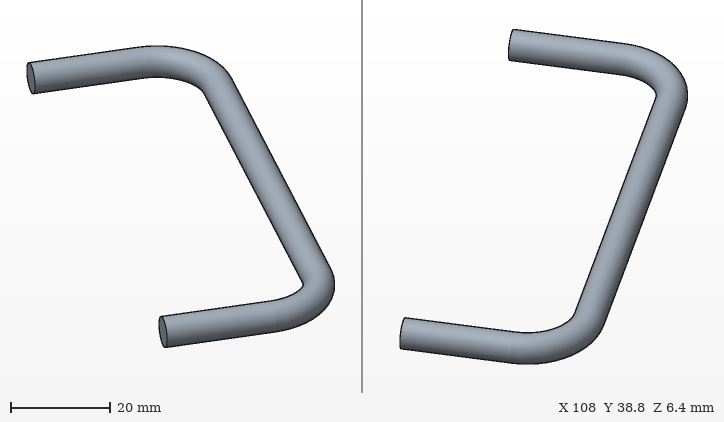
import cadquery as cq
import math

overall_length = 108.0
overall_depth = 38.8
rod_diameter = 6.4
bend_radius = 12.7

rod_radius = rod_diameter / 2
leg_x = overall_length / 2 - rod_radius
grip_y = overall_depth - rod_radius
bend_start_y = grip_y - bend_radius
bend_end_x = leg_x - bend_radius

bend_mid_offset = bend_radius * math.sin(math.radians(45))
bend_mid_x = bend_end_x + bend_mid_offset
bend_mid_y = bend_start_y + bend_mid_offset

centreline = (
    cq.Workplane("XY")
    .moveTo(-leg_x, 0)
    .lineTo(-leg_x, bend_start_y)
    .threePointArc((-bend_mid_x, bend_mid_y), (-bend_end_x, grip_y))
    .lineTo(bend_end_x, grip_y)
    .threePointArc((bend_mid_x, bend_mid_y), (leg_x, bend_start_y))
    .lineTo(leg_x, 0)
)

result = (
    cq.Workplane("XZ", origin=(-leg_x, 0, 0))
    .circle(rod_radius)
    .sweep(centreline)
)